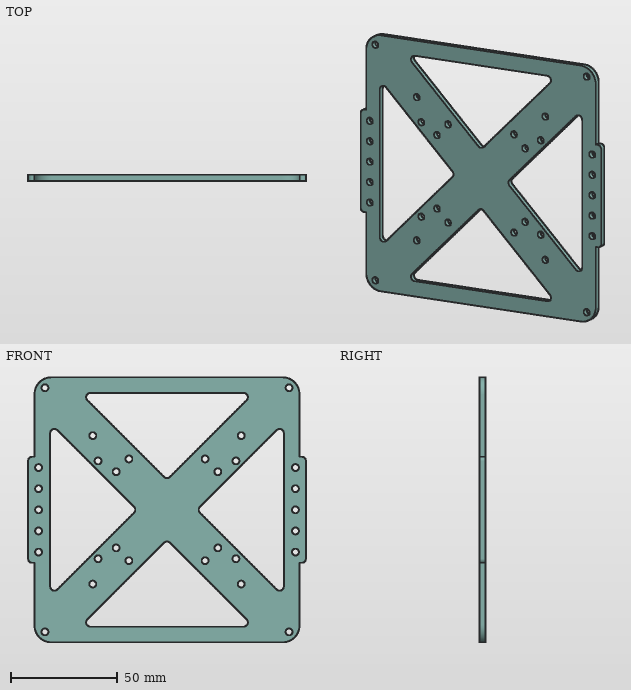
import cadquery as cq
import math

plate_size = 125.0
plate_thickness = 3.0
plate_corner_radius = 8.0

overall_width = 131.0
tab_height = 50.0
tab_corner_radius = 2.0

rim_width = 7.5
cross_arm_width = 20.0
window_corner_radius = 2.0

hole_diameter = 3.1
corner_hole_offset = 57.5
tab_hole_offset = 60.5
tab_hole_pitch = 10.0
tab_hole_count = 5

arm_holes = [
    (35.0, 35.0),
    (32.5, 23.0),
    (24.0, 18.0),
    (18.0, 24.0),
]


def block(width, height):
    """Centred slab of the plate thickness."""
    return cq.Workplane("XY").box(width, plate_thickness, height)


def make_window(angle):
    """Rounded triangular cutter with its apex towards the centre, turned about Y."""
    apex = cross_arm_width / math.sqrt(2)
    base = plate_size / 2 - rim_width
    half_base = base - apex
    return (
        cq.Workplane("XZ")
        .polyline([(0, apex), (half_base, base), (-half_base, base)])
        .close()
        .extrude(plate_thickness, both=True)
        .edges("|Y")
        .fillet(window_corner_radius)
        .rotate((0, 0, 0), (0, 1, 0), angle)
    )


def mirrored_points(x, z):
    """One point in each quadrant."""
    return [(sx * x, sz * z) for sx in (-1, 1) for sz in (-1, 1)]


def hole_positions():
    """Centres of all corner, arm and tab holes."""
    points = mirrored_points(corner_hole_offset, corner_hole_offset)
    for x, z in arm_holes:
        points += mirrored_points(x, z)
    for i in range(tab_hole_count):
        z = (i - (tab_hole_count - 1) / 2) * tab_hole_pitch
        points += [(-tab_hole_offset, z), (tab_hole_offset, z)]
    return points


plate = block(plate_size, plate_size).edges("|Y").fillet(plate_corner_radius)
tabs = block(overall_width, tab_height).edges("|Y").fillet(tab_corner_radius)
body = plate.union(tabs)

for angle in (0, 90, 180, 270):
    body = body.cut(make_window(angle))

holes = (
    cq.Workplane("XZ")
    .pushPoints(hole_positions())
    .circle(hole_diameter / 2)
    .extrude(plate_thickness, both=True)
)
result = body.cut(holes)